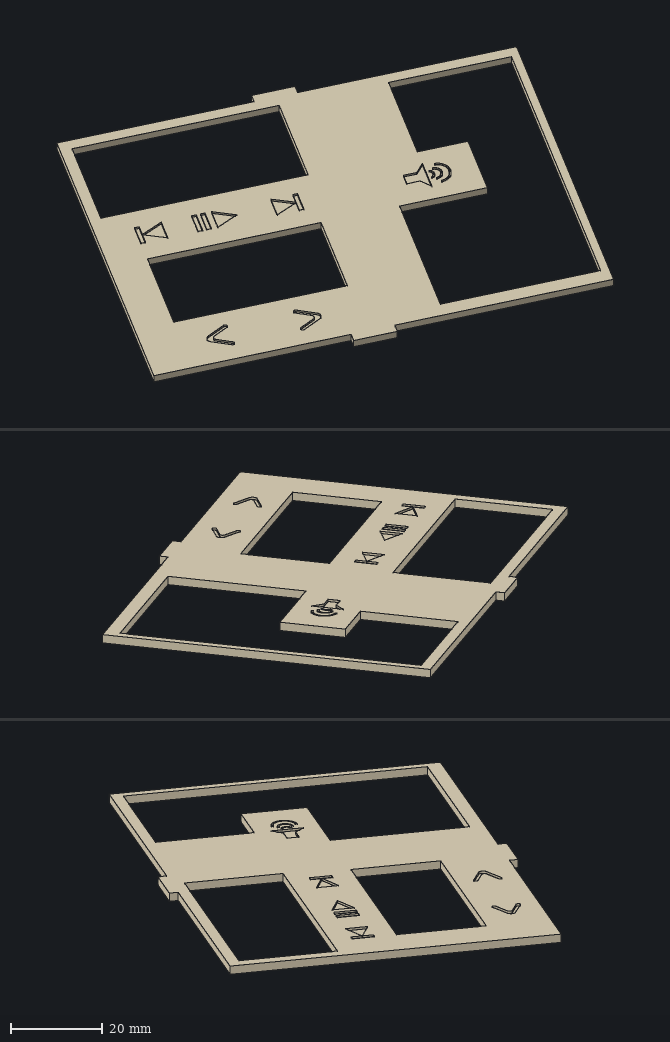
import cadquery as cq
import math

plate_length = 105.0
body_width = 75.0
overall_width = 79.0
thickness = 2.0
engraving_depth = 0.5

tab_top = 2.5
tab_bottom = -7.5

left_bar = 2.7
right_bar = 3.5
top_bar = 2.0
bottom_bar = 2.7
window_left = left_bar - body_width / 2
window_right = body_width / 2 - right_bar
window_top = plate_length / 2 - top_bar

strip_left = -12.5
strip_right = 2.5
strip_middle = (strip_left + strip_right) / 2
tongue_top = 34.0

upper_left_floor = 22.5
upper_right_floor = 14.0

lower_left_top = -2.5
lower_left_bottom = bottom_bar - plate_length / 2
lower_right_edge = 22.8
lower_right_top = -4.0
lower_right_bottom = -43.6

symbol_width = 5.0
triangle_height = 5.0
bar_height = 1.0
bar_pitch = 2.0
joint_overlap = 0.1
skip_back_top = -6.4
eject_tip = -21.0
eject_bars_top = -27.5
skip_forward_bottom = -43.6

horn_top = 22.5
horn_shoulder = 20.5
horn_bottom = 17.4
horn_half_width = 3.7
neck_half_width = 1.4
wave_stroke = 0.4
sound_waves = [(2.9, 2.8, 25.0), (1.8, 1.8, 24.2), (1.3, 0.9, 23.2)]

chevron_x = 30.0
chevron_half_span = 2.7
chevron_height = 5.1
chevron_stroke = 0.9
outer_bend_radius = 1.0
inner_bend_radius = 0.6
up_chevron_ends = -17.1
down_chevron_ends = -33.2


def box_between(left, right, bottom, top, floor, height):
    """Box given by its X and Y limits, its lowest Z and its height."""
    box = cq.Workplane("XY").box(right - left, top - bottom, height, centered=False)
    return box.translate((left, bottom, floor))


def engraved(outline):
    """Cutter for a closed outline, reaching down from its own plane."""
    return outline.extrude(-engraving_depth)


def top_face():
    return cq.Workplane("XY", origin=(0, 0, thickness))


def window(left, right, bottom, top):
    return box_between(left, right, bottom, top, 0, thickness)


def engraved_bar(top):
    half_width = symbol_width / 2
    floor = thickness - engraving_depth
    return box_between(
        strip_middle - half_width, strip_middle + half_width, top - bar_height, top, floor, engraving_depth
    )


def engraved_triangle(base, tip):
    half_width = symbol_width / 2
    corners = [(strip_middle - half_width, base), (strip_middle + half_width, base), (strip_middle, tip)]
    return engraved(top_face().polyline(corners).close())


def engraved_horn():
    right_side = [
        (horn_half_width, horn_top),
        (neck_half_width, horn_shoulder),
        (neck_half_width, horn_bottom),
    ]
    left_side = [(-x, y) for x, y in reversed(right_side)]
    corners = [(strip_middle + x, y) for x, y in right_side + left_side]
    return engraved(top_face().polyline(corners).close())


def engraved_wave(half_span, rise, foot):
    inner_span = half_span - wave_stroke
    outline = (
        top_face()
        .center(strip_middle, foot)
        .moveTo(-half_span, 0)
        .threePointArc((0, rise), (half_span, 0))
        .lineTo(inner_span, 0)
        .threePointArc((0, rise - wave_stroke), (-inner_span, 0))
        .close()
    )
    return engraved(outline)


def mirrored(point):
    return (-point[0], point[1])


def engraved_chevron(ends, direction):
    """Chevron pointing along +Y (direction 1) or -Y (direction -1)."""
    half_angle = math.atan2(chevron_half_span, chevron_height)
    sine = math.sin(half_angle)
    cosine = math.cos(half_angle)
    half_stroke = chevron_stroke / 2

    end_outer = (-chevron_half_span - half_stroke * cosine, half_stroke * sine)
    end_extreme = (-chevron_half_span - half_stroke * sine, -half_stroke * cosine)
    end_inner = (-chevron_half_span + half_stroke * cosine, -half_stroke * sine)

    def bend(side, radius):
        """Left tangent point and tip of the bend on the outer (1) or inner (-1) side."""
        sharp_tip = chevron_height + side * half_stroke / sine
        centre = sharp_tip - radius / sine
        return (-radius * cosine, centre + radius * sine), (0, centre + radius)

    outer_tangent, outer_tip = bend(1, outer_bend_radius)
    inner_tangent, inner_tip = bend(-1, inner_bend_radius)
    outline = (
        cq.Workplane("XY")
        .moveTo(*end_outer)
        .lineTo(*outer_tangent)
        .threePointArc(outer_tip, mirrored(outer_tangent))
        .lineTo(*mirrored(end_outer))
        .threePointArc(mirrored(end_extreme), mirrored(end_inner))
        .lineTo(*mirrored(inner_tangent))
        .threePointArc(inner_tip, inner_tangent)
        .lineTo(*end_inner)
        .threePointArc(end_extreme, end_outer)
        .close()
    )
    chevron = engraved(outline)
    if direction < 0:
        chevron = chevron.mirror("XZ")
    return chevron.translate((chevron_x, ends, thickness))


body = box_between(-body_width / 2, body_width / 2, -plate_length / 2, plate_length / 2, 0, thickness)
tabs = box_between(-overall_width / 2, overall_width / 2, tab_bottom, tab_top, 0, thickness)
plate = body.union(tabs)

upper_window = (
    window(window_left, strip_left, upper_left_floor, window_top)
    .union(window(strip_left, strip_right, tongue_top, window_top))
    .union(window(strip_right, window_right, upper_right_floor, window_top))
)
plate = (
    plate.cut(upper_window)
    .cut(window(window_left, strip_left, lower_left_bottom, lower_left_top))
    .cut(window(strip_right, lower_right_edge, lower_right_bottom, lower_right_top))
)

skip_back_tip = skip_back_top - bar_height
skip_back = engraved_bar(skip_back_top).union(
    engraved_triangle(skip_back_tip - triangle_height, skip_back_tip + joint_overlap)
)

skip_forward_tip = skip_forward_bottom + bar_height
skip_forward = engraved_bar(skip_forward_tip).union(
    engraved_triangle(skip_forward_tip + triangle_height, skip_forward_tip - joint_overlap)
)

plate = plate.cut(skip_back).cut(skip_forward)

plate = plate.cut(engraved_triangle(eject_tip - triangle_height, eject_tip))
for bar_number in range(2):
    plate = plate.cut(engraved_bar(eject_bars_top - bar_number * bar_pitch))

plate = plate.cut(engraved_horn())
for half_span, rise, foot in sound_waves:
    plate = plate.cut(engraved_wave(half_span, rise, foot))

plate = plate.cut(engraved_chevron(up_chevron_ends, 1))
plate = plate.cut(engraved_chevron(down_chevron_ends, -1))

result = plate